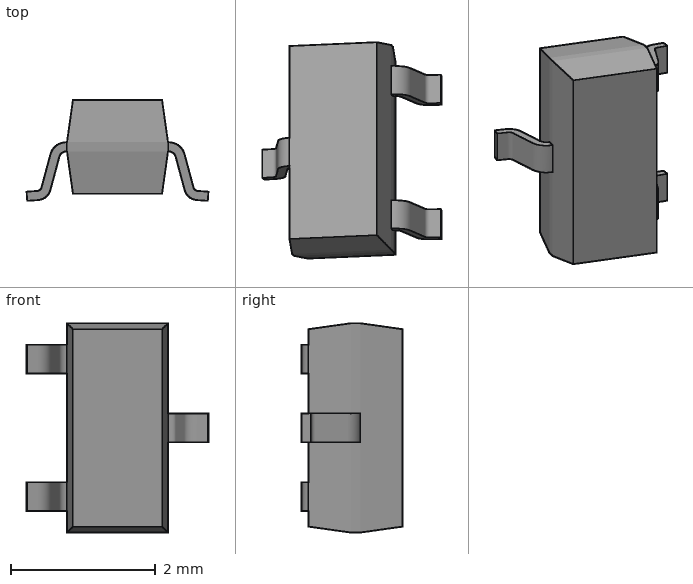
import cadquery as cq
import math

housing_length = 2.9
housing_width = 1.4
taper_depth = 0.585
taper_angle = 8.0

lead_thickness = 0.13
lead_width = 0.4
lead_pitch = 0.95
leg_angle = 75.0
foot_angle = 4.0
upper_inner_radius = 0.1
lower_inner_radius = 0.065
shoulder_length = 0.01
leg_length = 0.473
foot_length = 0.15


def make_housing():
    """Band centred on the origin, tapering towards +Y and -Y."""
    half_band = lead_thickness / 2
    body = cq.Workplane("XY").box(housing_width, lead_thickness, housing_length)
    for normal in (1, -1):
        plane = cq.Plane(origin=(0, normal * half_band, 0), xDir=(1, 0, 0), normal=(0, normal, 0))
        block = (
            cq.Workplane(plane)
            .rect(housing_width, housing_length)
            .extrude(taper_depth, taper=taper_angle)
        )
        body = body.union(block)
    return body


def offset_point(center, radius, angle):
    """Point at a radius from a bend center; angle in degrees from +X."""
    turn = math.radians(angle)
    return (center[0] + radius * math.cos(turn), center[1] + radius * math.sin(turn))


def make_lead():
    """Lead leaving the +X side of the housing, bent down towards -Y, centred on Z = 0."""
    upper_outer_radius = upper_inner_radius + lead_thickness
    lower_outer_radius = lower_inner_radius + lead_thickness

    upper_center = (housing_width / 2 + shoulder_length, -lead_thickness / 2 - upper_inner_radius)
    upper_end = 90 - leg_angle
    upper_middle = (90 + upper_end) / 2

    lower_start = 270 - leg_angle
    lower_end = 270 - foot_angle
    lower_middle = (lower_start + lower_end) / 2
    leg_top = offset_point(upper_center, upper_outer_radius + lower_inner_radius, upper_end)
    lower_center = offset_point(leg_top, leg_length, -leg_angle)

    top_foot_start = offset_point(lower_center, lower_inner_radius, lower_end)
    bottom_foot_start = offset_point(lower_center, lower_outer_radius, lower_end)

    return (
        cq.Workplane("XY", origin=(0, 0, -lead_width / 2))
        .moveTo(housing_width / 2, -lead_thickness / 2)
        .lineTo(housing_width / 2, lead_thickness / 2)
        .lineTo(*offset_point(upper_center, upper_outer_radius, 90))
        .threePointArc(
            offset_point(upper_center, upper_outer_radius, upper_middle),
            offset_point(upper_center, upper_outer_radius, upper_end),
        )
        .lineTo(*offset_point(lower_center, lower_inner_radius, lower_start))
        .threePointArc(offset_point(lower_center, lower_inner_radius, lower_middle), top_foot_start)
        .lineTo(*offset_point(top_foot_start, foot_length, -foot_angle))
        .lineTo(*offset_point(bottom_foot_start, foot_length, -foot_angle))
        .lineTo(*bottom_foot_start)
        .threePointArc(
            offset_point(lower_center, lower_outer_radius, lower_middle),
            offset_point(lower_center, lower_outer_radius, lower_start),
        )
        .lineTo(*offset_point(upper_center, upper_inner_radius, upper_end))
        .threePointArc(
            offset_point(upper_center, upper_inner_radius, upper_middle),
            offset_point(upper_center, upper_inner_radius, 90),
        )
        .close()
        .extrude(lead_width)
    )


housing = make_housing()

leads = [make_lead()]
for lead_z in (-lead_pitch, lead_pitch):
    leads.append(make_lead().mirror("YZ").translate((0, 0, lead_z)))

result = cq.Compound.makeCompound([housing.val(), *[lead.val() for lead in leads]])